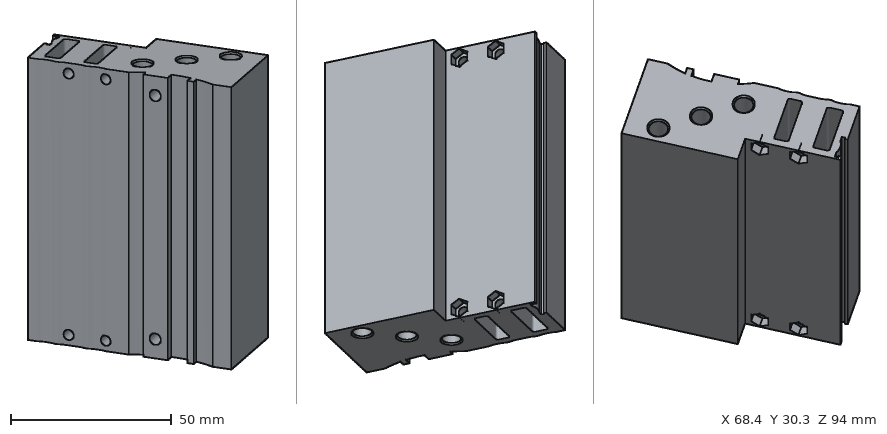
import cadquery as cq
import math

LENGTH = 68.4
DEPTH = 30.3
HEIGHT = 94.0
LOW_DEPTH = 21.9
STEP_X = 30.8

GROOVE_CENTER_Y = 17.05
MOUTH_WIDTH = 7.0
GROOVE_WIDTH = 8.0
LIP_THICKNESS = 1.0
GROOVE_DEPTH = 2.05
BUMP_WIDTH = 4.9
BUMP_RISE = 0.6

RECESS_SPANS = [(3.15, 9.15), (10.1, 19.35), (20.4, 26.3)]
RECESS_DEPTH = 0.4
FLANK_WIDTH = 2.5

ARCH_LEFT = 34.0
ARCH_RIGHT = 62.1
ARCH_RISE = 3.1
RIB_SPANS = [(38.8, 47.0), (53.65, 55.75)]

WINDOWS = [(4.3, 5.3), (17.55, 4.65)]
WINDOW_FRONT_Y = 3.0
WINDOW_LENGTH = 16.5
WINDOW_CORNER_RADIUS = 0.8

BORE_DIAMETER = 6.0
BORE_CHAMFER = 0.5
BORE_COUNT = 3
FIRST_BORE = (34.9, 9.0)
BORE_PITCH = (11.5, 8.1)

SCREW_X = [13.55, 26.1]
SCREW_DIAMETER = 3.4
NUT_WIDTH = 5.5
NUT_POCKET_DEPTH = 3.2
SCREW_END_DISTANCE = 3.5

PILOT_X = 42.8
PILOT_DIAMETER = 3.8
PILOT_DEPTH = 8.0
PILOT_POINT_LENGTH = 1.1
PILOT_END_DISTANCE = 6.45


def make_body():
    """Stepped block with the plain outline of the part."""
    outline = [
        (0, 0),
        (LENGTH, 0),
        (LENGTH, DEPTH),
        (STEP_X, DEPTH),
        (STEP_X, LOW_DEPTH),
        (0, LOW_DEPTH),
    ]
    return cq.Workplane("XY").polyline(outline).close().extrude(HEIGHT)


def flank_middle(width, rise):
    """Midpoint of an arc that falls from a tangent crest: (distance from the crest, drop)."""
    radius = (width**2 + rise**2) / (2 * rise)
    return width / 2, radius - math.sqrt(radius**2 - (width / 2) ** 2)


def make_side_groove():
    """Groove behind two lips, with a crowned strip on its floor."""
    mouth = cq.Workplane("XY").box(LIP_THICKNESS, MOUTH_WIDTH, HEIGHT, centered=(False, True, False))
    mouth = mouth.translate((0, GROOVE_CENTER_Y, 0))
    low_y = GROOVE_CENTER_Y - GROOVE_WIDTH / 2
    high_y = GROOVE_CENTER_Y + GROOVE_WIDTH / 2
    half_bump = BUMP_WIDTH / 2
    crown_x = GROOVE_DEPTH - BUMP_RISE
    middle_offset, middle_drop = flank_middle(half_bump, BUMP_RISE)
    channel = (
        cq.Workplane("XY")
        .moveTo(LIP_THICKNESS, low_y)
        .lineTo(GROOVE_DEPTH, low_y)
        .lineTo(GROOVE_DEPTH, GROOVE_CENTER_Y - half_bump)
        .threePointArc(
            (crown_x + middle_drop, GROOVE_CENTER_Y - middle_offset),
            (crown_x, GROOVE_CENTER_Y),
        )
        .threePointArc(
            (crown_x + middle_drop, GROOVE_CENTER_Y + middle_offset),
            (GROOVE_DEPTH, GROOVE_CENTER_Y + half_bump),
        )
        .lineTo(GROOVE_DEPTH, high_y)
        .lineTo(LIP_THICKNESS, high_y)
        .close()
        .extrude(HEIGHT)
    )
    return mouth.union(channel)


def make_recess(start_x, end_x):
    """Shallow recess whose curved flanks run tangent into its flat floor."""
    middle_offset, middle_drop = flank_middle(FLANK_WIDTH, RECESS_DEPTH)
    middle_y = RECESS_DEPTH - middle_drop
    floor_start = start_x + FLANK_WIDTH
    floor_end = end_x - FLANK_WIDTH
    return (
        cq.Workplane("XY")
        .moveTo(start_x, 0)
        .threePointArc((floor_start - middle_offset, middle_y), (floor_start, RECESS_DEPTH))
        .lineTo(floor_end, RECESS_DEPTH)
        .threePointArc((floor_end + middle_offset, middle_y), (end_x, 0))
        .close()
        .extrude(HEIGHT)
    )


def make_arch():
    """Arched hollow in the front face, less the ribs left standing in it."""
    arch = (
        cq.Workplane("XY")
        .moveTo(ARCH_LEFT, 0)
        .threePointArc(((ARCH_LEFT + ARCH_RIGHT) / 2, ARCH_RISE), (ARCH_RIGHT, 0))
        .close()
        .extrude(HEIGHT)
    )
    for start_x, end_x in RIB_SPANS:
        rib = cq.Workplane("XY").box(end_x - start_x, ARCH_RISE, HEIGHT, centered=False)
        arch = arch.cut(rib.translate((start_x, 0, 0)))
    return arch


def make_window(left_x, width):
    """Rounded rectangular opening through the full height."""
    window = cq.Workplane("XY").box(width, WINDOW_LENGTH, HEIGHT, centered=False)
    return window.edges("|Z").fillet(WINDOW_CORNER_RADIUS).translate((left_x, WINDOW_FRONT_Y, 0))


def make_bore(x, y):
    """Full-height hole, flared by a chamfer at both ends."""
    radius = BORE_DIAMETER / 2
    flare = radius + BORE_CHAMFER
    half_section = [
        (0, 0),
        (flare, 0),
        (radius, BORE_CHAMFER),
        (radius, HEIGHT - BORE_CHAMFER),
        (flare, HEIGHT),
        (0, HEIGHT),
    ]
    bore = cq.Workplane("XZ").polyline(half_section).close().revolve(360, (0, 0, 0), (0, 1, 0))
    return bore.translate((x, y, 0))


def make_screw_hole(x, z):
    """Front-to-back hole with a nut pocket in the back, two corners facing the ends."""
    hole = cq.Workplane("XZ", origin=(x, 0, z)).circle(SCREW_DIAMETER / 2).extrude(-LOW_DEPTH)
    nut_corner_diameter = NUT_WIDTH / math.cos(math.pi / 6)
    pocket = cq.Workplane("XZ").polygon(6, nut_corner_diameter).extrude(NUT_POCKET_DEPTH)
    pocket = pocket.rotate((0, 0, 0), (0, 1, 0), 90).translate((x, LOW_DEPTH, z))
    return hole.union(pocket)


def make_pilot_hole(x, z):
    """Blind hole from the front face, ending in a drill point."""
    radius = PILOT_DIAMETER / 2
    half_section = [
        (0, 0),
        (radius, 0),
        (radius, PILOT_DEPTH),
        (0, PILOT_DEPTH + PILOT_POINT_LENGTH),
    ]
    hole = cq.Workplane("XY").polyline(half_section).close().revolve(360, (0, 0, 0), (0, 1, 0))
    return hole.translate((x, 0, z))


def both_ends(distance):
    """Heights at the given distance from the bottom and from the top."""
    return [distance, HEIGHT - distance]


result = make_body().cut(make_side_groove()).cut(make_arch())

for recess_start, recess_end in RECESS_SPANS:
    result = result.cut(make_recess(recess_start, recess_end))

for window_x, window_width in WINDOWS:
    result = result.cut(make_window(window_x, window_width))

for index in range(BORE_COUNT):
    bore_x = FIRST_BORE[0] + index * BORE_PITCH[0]
    bore_y = FIRST_BORE[1] + index * BORE_PITCH[1]
    result = result.cut(make_bore(bore_x, bore_y))

for screw_x in SCREW_X:
    for screw_z in both_ends(SCREW_END_DISTANCE):
        result = result.cut(make_screw_hole(screw_x, screw_z))

for pilot_z in both_ends(PILOT_END_DISTANCE):
    result = result.cut(make_pilot_hole(PILOT_X, pilot_z))